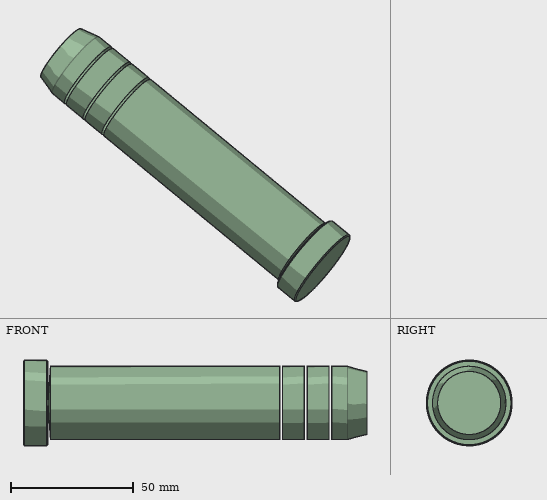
import cadquery as cq
import math

LENGTH = 140.0
HEAD_DIAMETER = 35.0
HEAD_LENGTH = 10.0
HEAD_CHAMFER = 0.5
SHANK_DIAMETER = 30.0

TAPER_LENGTH = 8.0
TAPER_ANGLE = 15.0

GROOVE_RADIUS = 0.53
GROOVE_COUNT = 3
FIRST_GROOVE_CENTER = 105.0
LAST_GROOVE_CENTER = 125.0

head_radius = HEAD_DIAMETER / 2
shank_radius = SHANK_DIAMETER / 2
tip_radius = shank_radius - TAPER_LENGTH * math.tan(math.radians(TAPER_ANGLE))


def make_head():
    """Cylindrical head with both rims chamfered."""
    head = cq.Workplane("YZ").circle(head_radius).extrude(HEAD_LENGTH)
    return head.edges("%CIRCLE").chamfer(HEAD_CHAMFER)


def make_shank():
    """Straight shank with a conical tip, revolved about the X axis."""
    return (
        cq.Workplane("XY")
        .polyline([
            (0, 0),
            (0, shank_radius),
            (LENGTH - TAPER_LENGTH, shank_radius),
            (LENGTH, tip_radius),
            (LENGTH, 0),
        ])
        .close()
        .revolve(360, (0, 0, 0), (1, 0, 0))
    )


def make_groove_cutter(center_x):
    """Ring of round section, centred on the shank surface."""
    return (
        cq.Workplane("XY")
        .center(center_x, shank_radius)
        .circle(GROOVE_RADIUS)
        .revolve(360, (0, -shank_radius, 0), (1, -shank_radius, 0))
    )


relief_center = HEAD_LENGTH + GROOVE_RADIUS
groove_pitch = (LAST_GROOVE_CENTER - FIRST_GROOVE_CENTER) / (GROOVE_COUNT - 1)
groove_centers = [FIRST_GROOVE_CENTER + i * groove_pitch for i in range(GROOVE_COUNT)]

result = make_head().union(make_shank())
for groove_x in [relief_center] + groove_centers:
    result = result.cut(make_groove_cutter(groove_x))